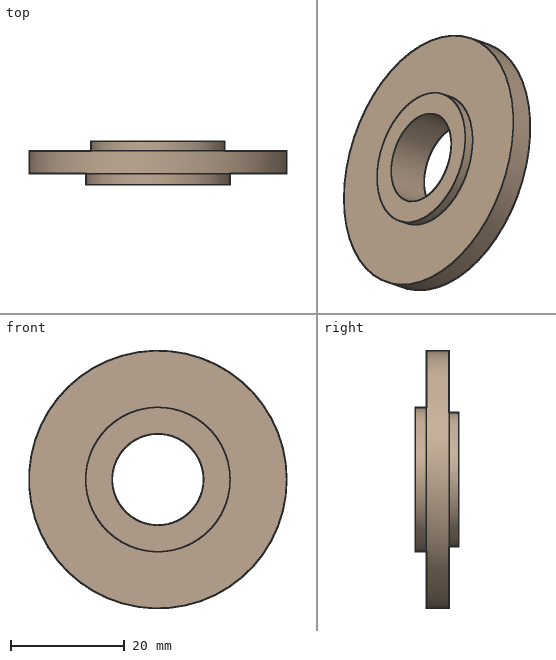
import cadquery as cq

flange_diameter = 45.3
flange_thickness = 4.0
front_boss_diameter = 25.35
front_boss_height = 2.0
back_boss_diameter = 23.55
back_boss_height = 1.7
bore_diameter = 16.0

total_thickness = front_boss_height + flange_thickness + back_boss_height


def disc(diameter, start_y, thickness):
    """Round disc about the Y axis, growing from start_y toward +Y."""
    plane = cq.Plane(origin=(0, start_y, 0), xDir=(1, 0, 0), normal=(0, 1, 0))
    return cq.Workplane(plane).circle(diameter / 2).extrude(thickness)


flange = disc(flange_diameter, 0, flange_thickness)
front_boss = disc(front_boss_diameter, -front_boss_height, front_boss_height)
back_boss = disc(back_boss_diameter, flange_thickness, back_boss_height)

bore = disc(bore_diameter, -front_boss_height, total_thickness)

result = flange.union(front_boss).union(back_boss).cut(bore)